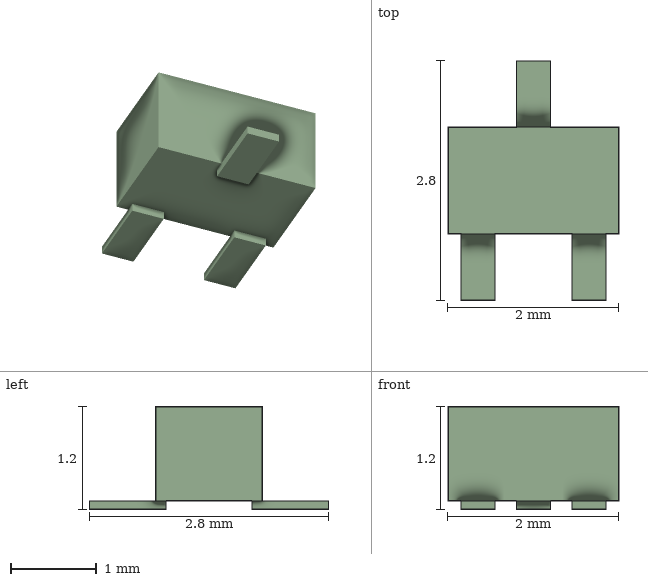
import cadquery as cq

span_y = 2.8

housing_x = 2.0
housing_y = 1.25
housing_z = 1.1

lead_width = 0.4
lead_length = 0.9
lead_thickness = 0.1
lead_offset_x = 0.65

lead_center_y = (span_y - lead_length) / 2


def make_housing():
    """Plain block resting on top of the leads."""
    return (
        cq.Workplane("XY")
        .box(housing_x, housing_y, housing_z, centered=(True, True, False))
        .translate((0, 0, lead_thickness))
    )


def make_lead(x, y):
    """Flat strip lying on the base plane, centred at (x, y)."""
    return (
        cq.Workplane("XY")
        .box(lead_width, lead_length, lead_thickness, centered=(True, True, False))
        .translate((x, y, 0))
    )


lead_positions = [
    (-lead_offset_x, -lead_center_y),
    (lead_offset_x, -lead_center_y),
    (0, lead_center_y),
]

housing = make_housing()
leads = [make_lead(x, y) for x, y in lead_positions]

result = cq.Compound.makeCompound([housing.val(), *[lead.val() for lead in leads]])